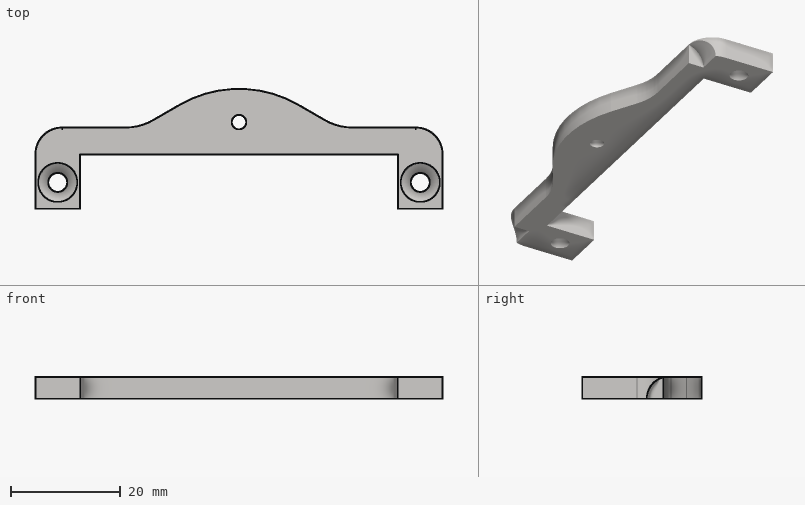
import cadquery as cq
import math

length = 74.4
depth = 21.95
thickness = 4.0
mid_x = length / 2

leg_width = 8.2
inner_edge_y = 9.9
bar_back_y = 14.9
corner_radius = 4.9

crown_radius = 21.6
foot_radius = 10.0
flank_angle = math.radians(30)

screw_hole_diameter = 3.4
countersink_diameter = 7.15
countersink_angle = 90
screw_hole_y = 4.8
center_hole_diameter = 2.6
center_hole_y = 15.85

undercut_start = (11.8, 0)
undercut_middle = (12.6, 2.4)
undercut_end = (bar_back_y, 3.95)


def arc_offset(radius, angle):
    """Sideways run and drop from the horizontal tangent of an arc."""
    return radius * math.sin(angle), radius * (1 - math.cos(angle))


def make_plate():
    crown_run, crown_drop = arc_offset(crown_radius, flank_angle)
    crown_mid_run, crown_mid_drop = arc_offset(crown_radius, flank_angle / 2)
    foot_run, foot_rise = arc_offset(foot_radius, flank_angle)
    foot_mid_run, foot_mid_rise = arc_offset(foot_radius, flank_angle / 2)
    flank_drop = depth - bar_back_y - crown_drop - foot_rise
    flank_run = flank_drop / math.tan(flank_angle)
    foot_start_x = mid_x - crown_run - flank_run - foot_run
    corner_mid = corner_radius * (1 - math.sqrt(0.5))

    half = (
        cq.Workplane("XY")
        .moveTo(mid_x, inner_edge_y)
        .lineTo(leg_width, inner_edge_y)
        .lineTo(leg_width, 0)
        .lineTo(0, 0)
        .lineTo(0, bar_back_y - corner_radius)
        .threePointArc((corner_mid, bar_back_y - corner_mid), (corner_radius, bar_back_y))
        .lineTo(foot_start_x, bar_back_y)
        .threePointArc(
            (foot_start_x + foot_mid_run, bar_back_y + foot_mid_rise),
            (foot_start_x + foot_run, bar_back_y + foot_rise),
        )
        .lineTo(mid_x - crown_run, depth - crown_drop)
        .threePointArc((mid_x - crown_mid_run, depth - crown_mid_drop), (mid_x, depth))
        .close()
        .extrude(thickness)
    )
    return half.union(mirrored(half))


def mirrored(body):
    return body.mirror("YZ", (mid_x, 0, 0))


def make_corner_undercut():
    return (
        cq.Workplane("YZ")
        .moveTo(*undercut_start)
        .threePointArc(undercut_middle, undercut_end)
        .lineTo(bar_back_y, 0)
        .close()
        .extrude(corner_radius)
    )


def drill_holes(plate):
    top = cq.Workplane("XY", origin=(0, 0, thickness))
    screw_x = leg_width / 2
    screw_points = [(x, screw_hole_y) for x in (screw_x, length - screw_x)]
    plate = plate.copyWorkplane(top).pushPoints(screw_points)
    plate = plate.cskHole(screw_hole_diameter, countersink_diameter, countersink_angle)
    plate = plate.copyWorkplane(top).pushPoints([(mid_x, center_hole_y)])
    return plate.hole(center_hole_diameter)


undercut = make_corner_undercut()
result = drill_holes(make_plate()).cut(undercut).cut(mirrored(undercut))